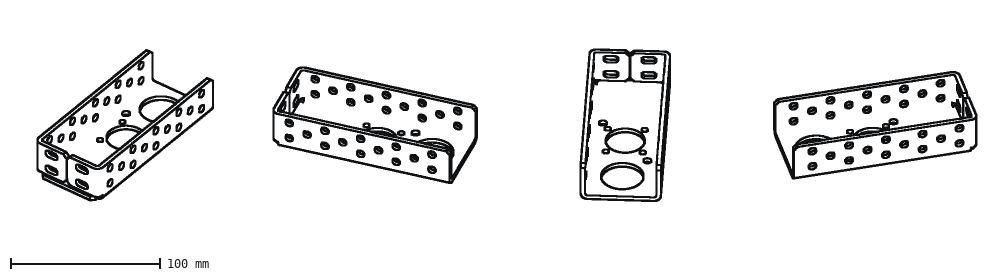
import cadquery as cq

width = 54.0
length = 127.0
height = 28.6

sheet = 3.2
inner_bend = sheet / 2
outer_bend = inner_bend + sheet
corner_cut = 2.5
flap_gap = 0.6

wall_hole = 5.3
hole_pitch = 25.4
row_spacing = 12.7
outer_row_count = 5
slot_length = 10.0
slot_offset = 12.7

rear_opening = 28.6
rear_opening_y = 41.3
motor_opening = 26.3
motor_opening_y = 2.4
motor_screw_hole = 4.2
motor_screw_spacing = 24.8
floor_hole = 5.3
floor_hole_x = 15.9
left_floor_hole_y = 23.6
right_floor_hole_y = -16.1

half_length = length / 2
flat_width = width - 2 * outer_bend
front_bend_y = -half_length + outer_bend
wall_height = height - outer_bend
wall_length = half_length - front_bend_y
wall_middle_z = outer_bend + wall_height / 2
row_heights = (wall_middle_z - row_spacing / 2, wall_middle_z + row_spacing / 2)


def bent_strip(plane, depth):
    """Flat sheet along the local X axis with a quarter bend at each end, extruded by depth."""
    outer_x = width / 2
    inner_x = outer_x - sheet
    flat_x = flat_width / 2
    return (
        cq.Workplane(plane)
        .moveTo(outer_x, outer_bend)
        .radiusArc((flat_x, 0), outer_bend)
        .lineTo(-flat_x, 0)
        .radiusArc((-outer_x, outer_bend), outer_bend)
        .lineTo(-inner_x, outer_bend)
        .radiusArc((-flat_x, sheet), -inner_bend)
        .lineTo(flat_x, sheet)
        .radiusArc((inner_x, outer_bend), -inner_bend)
        .close()
        .extrude(depth)
    )


def bent_floor():
    """Floor with the bends up into the side walls, from the rear end to the front bend line."""
    plane = cq.Plane(origin=(0, half_length, 0), xDir=(1, 0, 0), normal=(0, -1, 0))
    return bent_strip(plane, wall_length)


def side_walls():
    """Upright walls with their upper rear corners cut off."""
    wall = (
        cq.Workplane("XY")
        .box(sheet, wall_length, wall_height, centered=False)
        .edges("|X and >Y and >Z")
        .chamfer(corner_cut)
        .translate((width / 2 - sheet, front_bend_y, outer_bend))
    )
    return wall.union(wall.mirror("YZ"))


def floor_lip():
    """Flat tongue of the floor that runs under the front flaps."""
    return (
        cq.Workplane("XY")
        .box(flat_width, outer_bend, sheet, centered=(True, False, False))
        .edges("|Z and <Y")
        .chamfer(corner_cut)
        .translate((0, -half_length, 0))
    )


def front_flaps():
    """Wall ends bent inward around both front corners, split in the middle."""
    plane = cq.Plane(origin=(0, -half_length, outer_bend), xDir=(1, 0, 0), normal=(0, 0, 1))
    flaps = bent_strip(plane, wall_height)
    split = (
        cq.Workplane("XY")
        .box(flap_gap, sheet, wall_height, centered=(True, False, False))
        .translate((0, -half_length, outer_bend))
    )
    flaps = flaps.cut(split)
    near_split = cq.selectors.BoxSelector((-flap_gap, -length, 0), (flap_gap, length, 2 * height))
    return flaps.edges("|Y").edges(near_split).chamfer(corner_cut)


def wall_holes():
    """Staggered rows of holes, drilled through both side walls."""
    outer_first_y = -hole_pitch * (outer_row_count - 1) / 2
    outer_ys = [outer_first_y + i * hole_pitch for i in range(outer_row_count)]
    middle_ys = [y + hole_pitch / 2 for y in outer_ys[:-1]]
    points = [(y, z) for y in outer_ys for z in row_heights]
    points += [(y, wall_middle_z) for y in middle_ys]
    return cq.Workplane("YZ").pushPoints(points).circle(wall_hole / 2).extrude(width, both=True)


def flap_slots():
    """Two horizontal slots in each front flap."""
    points = [(side * slot_offset, z) for side in (-1, 1) for z in row_heights]
    return (
        cq.Workplane("XZ", origin=(0, -half_length, 0))
        .pushPoints(points)
        .slot2D(slot_length, wall_hole)
        .extrude(-sheet)
    )


def floor_drill(diameter, points):
    """Round cutters through the floor."""
    return cq.Workplane("XY").pushPoints(points).circle(diameter / 2).extrude(sheet)


def floor_holes():
    """Two large openings, four motor screws and two offset holes."""
    screw_reach = motor_screw_spacing / 2
    screws = [
        (x, motor_opening_y + y)
        for x in (-screw_reach, screw_reach)
        for y in (-screw_reach, screw_reach)
    ]
    offset_holes = [(-floor_hole_x, left_floor_hole_y), (floor_hole_x, right_floor_hole_y)]
    return (
        floor_drill(rear_opening, [(0, rear_opening_y)])
        .add(floor_drill(motor_opening, [(0, motor_opening_y)]))
        .add(floor_drill(motor_screw_hole, screws))
        .add(floor_drill(floor_hole, offset_holes))
        .combine()
    )


body = bent_floor().union(side_walls()).union(floor_lip()).union(front_flaps())
result = body.cut(wall_holes()).cut(flap_slots()).cut(floor_holes())